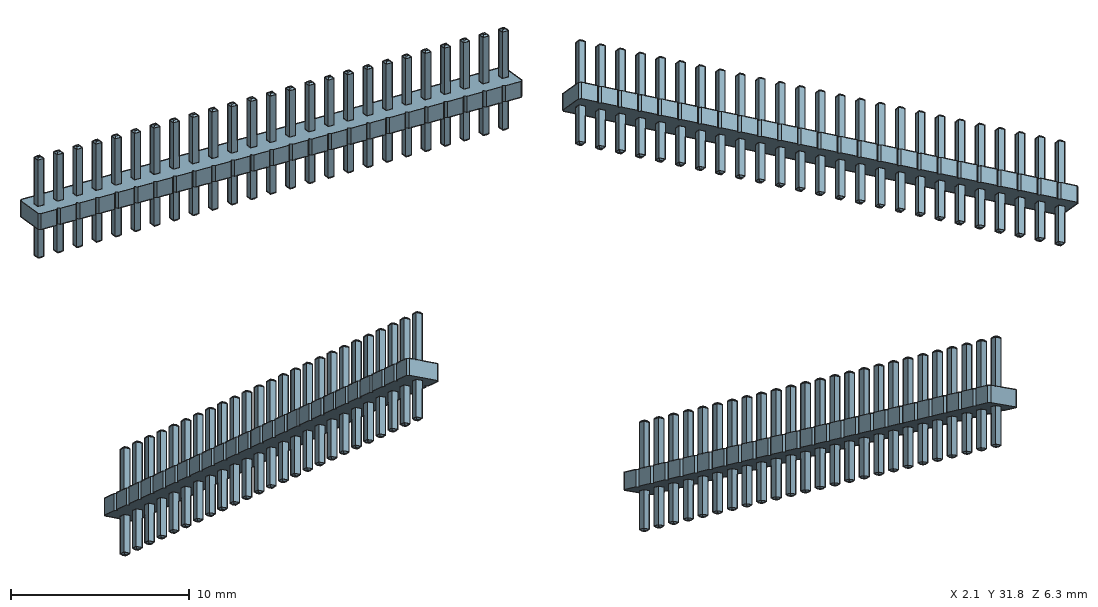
import cadquery as cq

PIN_COUNT = 25
PITCH = 1.27
BODY_WIDTH = 2.1
BODY_HEIGHT = 1.0
BODY_CORNER_CHAMFER = PITCH / 10
PIN_SIDE = 0.4
PIN_ABOVE_BODY = 3.0
PIN_BELOW_BODY = 2.3
PIN_TIP_CHAMFER = PIN_SIDE / 4

BODY_LENGTH = PITCH * PIN_COUNT
PIN_LENGTH = PIN_BELOW_BODY + BODY_HEIGHT + PIN_ABOVE_BODY
FIRST_PIN_Y = -PITCH * (PIN_COUNT - 1) / 2
HALF_WIDTH = BODY_WIDTH / 2
HALF_PITCH = PITCH / 2
NECK_HALF_WIDTH = HALF_WIDTH - BODY_CORNER_CHAMFER
FLAT_HALF_LENGTH = HALF_PITCH - BODY_CORNER_CHAMFER


def pin_positions():
    """Y coordinate of every contact along the strip."""
    return [FIRST_PIN_Y + i * PITCH for i in range(PIN_COUNT)]


def side_points(x_sign, y_sign):
    """Outline points down one long side of the body, one bevelled segment per contact."""
    points = []
    for center in pin_positions():
        y = y_sign * center
        points += [
            (x_sign * NECK_HALF_WIDTH, y - y_sign * HALF_PITCH),
            (x_sign * HALF_WIDTH, y - y_sign * FLAT_HALF_LENGTH),
            (x_sign * HALF_WIDTH, y + y_sign * FLAT_HALF_LENGTH),
        ]
    points.append((x_sign * NECK_HALF_WIDTH, y_sign * BODY_LENGTH / 2))
    return points


def make_body():
    """Insulating strip with V-shaped break notches between contacts; its underside is at Z = 0."""
    outline = side_points(1, 1) + side_points(-1, -1)
    return cq.Workplane("XY").polyline(outline).close().extrude(BODY_HEIGHT)


def make_pins():
    """Square contacts through the strip, bevelled at both tips."""
    return (
        cq.Workplane("XY", origin=(0, 0, -PIN_BELOW_BODY))
        .pushPoints([(0, y) for y in pin_positions()])
        .rect(PIN_SIDE, PIN_SIDE)
        .extrude(PIN_LENGTH)
        .faces("<Z or >Z")
        .chamfer(PIN_TIP_CHAMFER)
    )


result = make_body().union(make_pins())